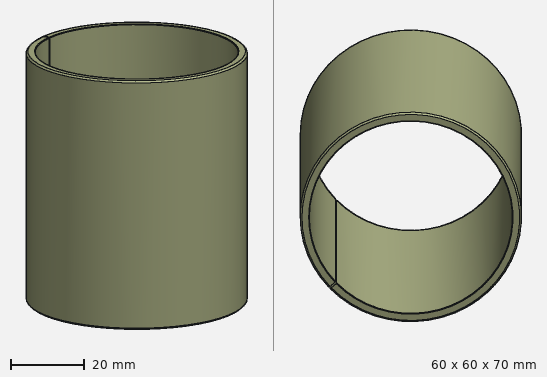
import cadquery as cq

outer_diameter = 60.0
wall_thickness = 2.5
length = 70.0
outer_chamfer = 0.5
inner_chamfer = 0.2
slit_angle = 1.0

outer_radius = outer_diameter / 2
inner_radius = outer_radius - wall_thickness


def make_wall_profile():
    """Wall section on the -X side, with chamfered outer and inner rims."""
    return (
        cq.Workplane("XZ")
        .moveTo(-inner_radius - inner_chamfer, 0)
        .lineTo(-outer_radius + outer_chamfer, 0)
        .lineTo(-outer_radius, outer_chamfer)
        .lineTo(-outer_radius, length - outer_chamfer)
        .lineTo(-outer_radius + outer_chamfer, length)
        .lineTo(-inner_radius - inner_chamfer, length)
        .lineTo(-inner_radius, length - inner_chamfer)
        .lineTo(-inner_radius, inner_chamfer)
        .close()
    )


def make_split_sleeve():
    """Sleeve standing on Z = 0, swept from the Y = 0 plane and left open by a slit just on its +Y side."""
    axis_start = (0, 0, 0)
    axis_end = (0, 1, 0)
    return make_wall_profile().revolve(360 - slit_angle, axis_start, axis_end)


result = make_split_sleeve()